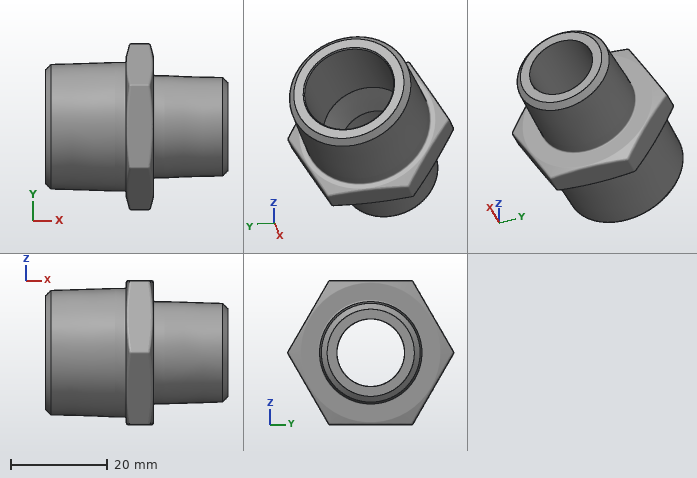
import cadquery as cq
import math


total_length = 38.0
large_thread_length = 14.5
small_thread_length = 13.2
neck_length = 2.3

large_diameter = 26.75
small_diameter = 21.27
thread_taper = 1 / 16
end_chamfer = 1.2
neck_fillet = 0.3

across_flats = 30.0
hex_face_radius = 14.5
hex_chamfer_angle = math.radians(15)
hex_edge_radius = 0.5

large_bore_diameter = 19.0
small_bore_diameter = 14.0
bore_rim_chamfer = 0.25

hex_start = large_thread_length + neck_length
hex_end = total_length - small_thread_length - neck_length
hex_width = hex_end - hex_start
corner_radius = across_flats / math.sqrt(3)


def revolve_about_x(outline):
    """Turn a closed outline, drawn as X against radius, about the X axis."""
    return outline.close().revolve(360, (0, 0, 0), (1, 0, 0))


def tapered_end(diameter, thread_length):
    """Solid end starting at X = 0: chamfer, tapered thread, neck and fillet at the hexagon."""
    radius = diameter / 2
    shoulder = thread_length + neck_length
    taper_drop = (thread_length - end_chamfer) * thread_taper / 2
    thread_start_radius = radius - taper_drop
    fillet_middle = neck_fillet * (1 - math.sqrt(0.5))
    outline = (
        cq.Workplane("XZ")
        .lineTo(0, thread_start_radius - end_chamfer)
        .lineTo(end_chamfer, thread_start_radius)
        .lineTo(thread_length, radius)
        .lineTo(shoulder - neck_fillet, radius)
        .threePointArc(
            (shoulder - fillet_middle, radius + fillet_middle),
            (shoulder, radius + neck_fillet),
        )
        .lineTo(shoulder + hex_width / 2, radius + neck_fillet)
        .lineTo(shoulder + hex_width / 2, 0)
    )
    return revolve_about_x(outline)


def hexagon():
    """Hexagon with two flats facing +Z and -Z, turned conical corners and rounded edges."""
    prism = (
        cq.Workplane("YZ")
        .workplane(offset=hex_start)
        .polygon(6, 2 * corner_radius)
        .extrude(hex_width)
        .edges("|X")
        .fillet(hex_edge_radius)
    )
    cone_depth = (corner_radius - hex_face_radius) * math.tan(hex_chamfer_angle)
    envelope = revolve_about_x(
        cq.Workplane("XZ")
        .moveTo(hex_start, 0)
        .lineTo(hex_start, hex_face_radius)
        .lineTo(hex_start + cone_depth, corner_radius)
        .lineTo(hex_end - cone_depth, corner_radius)
        .lineTo(hex_end, hex_face_radius)
        .lineTo(hex_end, 0)
    )
    for end_face in ("<X", ">X"):
        envelope = envelope.faces(end_face).edges().fillet(hex_edge_radius)
    rim_edges = prism.intersect(envelope).faces("#X").edges("not |X")
    return rim_edges.fillet(hex_edge_radius)


def bore():
    """Stepped through bore with a chamfered rim and a cone that narrows it across the hexagon width."""
    large_radius = large_bore_diameter / 2
    small_radius = small_bore_diameter / 2
    outline = (
        cq.Workplane("XZ")
        .lineTo(0, large_radius + bore_rim_chamfer)
        .lineTo(bore_rim_chamfer, large_radius)
        .lineTo(hex_start, large_radius)
        .lineTo(hex_end, small_radius)
        .lineTo(total_length, small_radius)
        .lineTo(total_length, 0)
    )
    return revolve_about_x(outline)


large_end = tapered_end(large_diameter, large_thread_length)
small_end = (
    tapered_end(small_diameter, small_thread_length)
    .mirror("YZ")
    .translate((total_length, 0, 0))
)

result = hexagon().union(large_end).union(small_end).cut(bore())